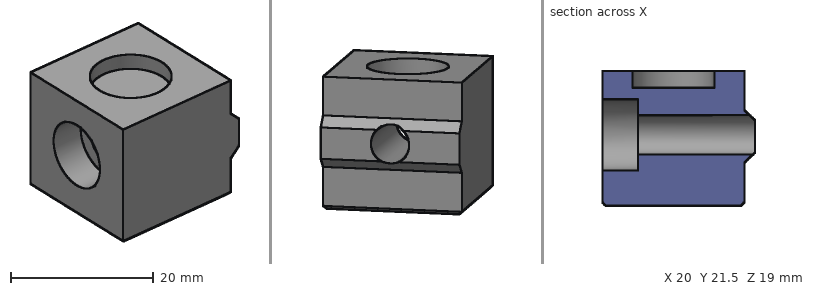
import cadquery as cq

side = 20.0
height = 19.0
base_chamfer = 0.5

overall_depth = 21.5
tongue_bottom = 6.08
tongue_top = 13.45
tongue_slope_rise = 1.45

bore_height = 10.0
bore_diameter = 5.5
counterbore_diameter = 10.0
counterbore_depth = 5.0

pocket_diameter = 11.5
pocket_depth = 2.36


def make_block():
    block = cq.Workplane("XY").box(side, side, height, centered=(True, False, False))
    return block.faces("<Z").edges().chamfer(base_chamfer)


def make_tongue():
    """Trapezoid profile in the YZ plane, swept across the block's width."""
    rear = side
    profile = [
        (rear, tongue_bottom),
        (overall_depth, tongue_bottom + tongue_slope_rise),
        (overall_depth, tongue_top - tongue_slope_rise),
        (rear, tongue_top),
    ]
    return cq.Workplane("YZ").polyline(profile).close().extrude(side / 2, both=True)


def front_cylinder(diameter, depth):
    """Cylinder on the bore axis, running back from the front face."""
    front = cq.Workplane("XZ").center(0, bore_height)
    return front.circle(diameter / 2).extrude(-depth)


def make_pocket():
    floor = cq.Workplane("XY", origin=(0, side / 2, height - pocket_depth))
    return floor.circle(pocket_diameter / 2).extrude(pocket_depth)


result = (
    make_block()
    .union(make_tongue())
    .cut(front_cylinder(bore_diameter, overall_depth))
    .cut(front_cylinder(counterbore_diameter, counterbore_depth))
    .cut(make_pocket())
)